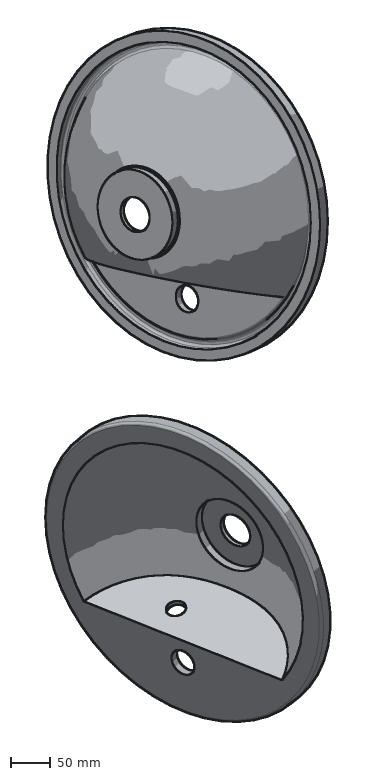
import cadquery as cq
import math

rim_radius = 215.0
rim_depth = 19.5
rim_round = 4.0
skirt_inner_radius = 200.5
groove_depth = 7.5
groove_round = 3.5
bowl_foot_round = 4.0

wall_arc_offset = 36.0
wall_arc_height = 55.5
wall_arc_radius = 167.0
wall_thickness = 7.5

deck_depth = 12.5
deck_round = 2.5
deck_wall_z = -109.0
deck_wall_angle = math.radians(15)
tap_hole_radius = 17.5
tap_hole_z = -138.0
overflow_radius = 13.0
overflow_x = 39.5
overflow_z = -100.5

total_depth = 123.0
edge_margin = 0.5
boss_radius = 59.0
boss_collar_radius = 62.0
boss_collar_depth = 111.5
drain_radius = 23.0


def cylinder(radius, start_depth, end_depth, x=0.0, z=0.0):
    """Cylinder along Y between two depths."""
    base = cq.Workplane("XZ", origin=(x, -start_depth, z))
    return base.circle(radius).extrude(end_depth - start_depth)


def bowl(inset):
    """Solid bowl with its wall moved inwards by the inset."""
    radius = wall_arc_radius - inset
    mouth_radius = wall_arc_offset + math.sqrt(radius**2 - wall_arc_height**2)
    bend = math.radians(45)
    middle = (
        wall_arc_offset + radius * math.cos(bend),
        wall_arc_height - radius * math.sin(bend),
    )
    bottom = (wall_arc_offset, wall_arc_height - radius)
    return (
        cq.Workplane("XY")
        .lineTo(mouth_radius, 0)
        .threePointArc(middle, bottom)
        .lineTo(0, bottom[1])
        .close()
        .revolve(360, (0, 0), (0, 1))
    )


def deck_space(inset, top_depth):
    """Space beside the sloping deck wall (moved inwards by the inset), below the given depth."""
    slope = math.tan(deck_wall_angle)
    top_z = deck_wall_z + slope * (top_depth - deck_depth) + inset / math.cos(deck_wall_angle)
    bottom_z = top_z + slope * (total_depth - top_depth)
    return (
        cq.Workplane("YZ")
        .polyline([
            (-top_depth, top_z),
            (-total_depth, bottom_z),
            (-total_depth, -skirt_inner_radius),
            (-top_depth, -skirt_inner_radius),
        ])
        .close()
        .extrude(rim_radius, both=True)
    )


def rim():
    """Mouth ring with a hanging skirt and a flat groove behind it."""
    ring = cylinder(rim_radius, 0, rim_depth).faces(">Y").edges().fillet(rim_round)
    recess = cylinder(skirt_inner_radius, groove_depth, rim_depth)
    recess = recess.faces(">Y").edges().fillet(groove_round)
    return ring.cut(recess)


def edges_between(body, upper_depth, lower_depth, top_z):
    """Edges whose centres lie between two depths and below a height."""
    return body.edges(cq.selectors.BoxSelector(
        (-rim_radius, -lower_depth, -rim_radius),
        (rim_radius, -upper_depth, top_z),
    ))


def rounded_bowl():
    """Bowl exterior blended into the rim plate, with the deck cut away and its edges rounded."""
    plate = cylinder(skirt_inner_radius - groove_round, 0, groove_depth)
    body = plate.union(bowl(0))
    body = body.edges("%BSPLINE").fillet(bowl_foot_round)
    body = body.cut(deck_space(0, deck_depth))
    deck_edges = edges_between(body, deck_depth - edge_margin, wall_arc_radius, -boss_radius)
    return deck_edges.fillet(deck_round)


def boss():
    """Drain boss with a conical collar where it meets the bowl."""
    cone_height = boss_collar_radius - boss_radius
    cone_top = cone_height - boss_collar_depth
    collar_top = cone_top + cone_height
    return (
        cq.Workplane("XY")
        .polyline([
            (0, collar_top),
            (boss_collar_radius, collar_top),
            (boss_collar_radius, cone_top),
            (boss_radius, -boss_collar_depth),
            (boss_radius, -total_depth),
            (0, -total_depth),
        ])
        .close()
        .revolve(360, (0, 0), (0, 1))
    )


def overflow_hole():
    """Round hole square to the sloping deck wall."""
    outward = cq.Vector(0, -math.sin(deck_wall_angle), -math.cos(deck_wall_angle))
    depth = deck_depth + (overflow_z - deck_wall_z) / math.tan(deck_wall_angle)
    reach = 2 * wall_thickness
    start = cq.Vector(overflow_x, -depth, overflow_z) - outward * reach
    return cq.Workplane(cq.Solid.makeCylinder(overflow_radius, 2 * reach, start, outward))


cavity = bowl(wall_thickness).cut(deck_space(wall_thickness, 0))
result = (
    rim()
    .union(rounded_bowl())
    .union(boss())
    .cut(cavity)
    .cut(cylinder(boss_radius - wall_thickness, 0, total_depth - wall_thickness))
    .cut(cylinder(drain_radius, 0, total_depth))
    .cut(cylinder(tap_hole_radius, 0, deck_depth, z=tap_hole_z))
    .cut(overflow_hole())
)